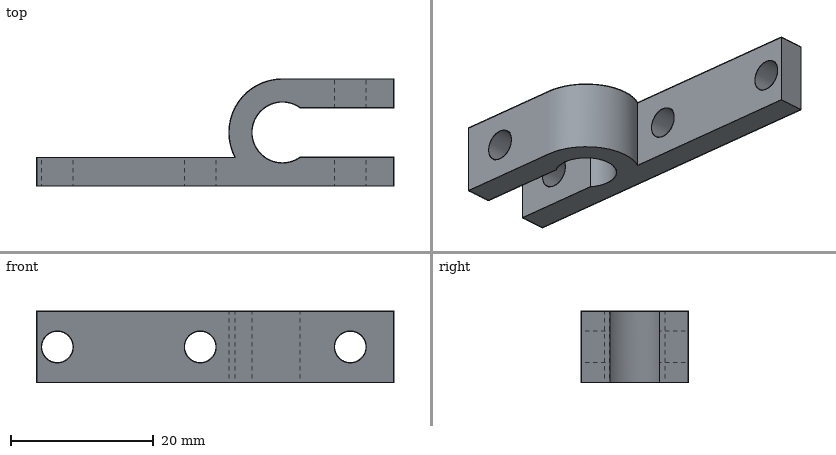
import cadquery as cq

length = 50.0
depth = 15.0
height = 10.0

outer_radius = depth / 2
clip_center_x = 34.4
bore_radius = 4.25
slot_width = 6.9

plate_thickness = 4.0
hole_diameter = 4.4
hole_positions_x = (2.9, 22.9, 43.9)


def box_between(x_start, x_end, y_start, y_end):
    """Full-height block spanning the given X and Y ranges."""
    size_x = x_end - x_start
    size_y = y_end - y_start
    return cq.Workplane("XY").box(size_x, size_y, height, centered=False).translate((x_start, y_start, 0))


def cylinder_at_clip_center(radius):
    """Full-height vertical cylinder on the clip axis."""
    return cq.Workplane("XY").center(clip_center_x, outer_radius).circle(radius).extrude(height)


def make_clip_opening():
    """Round bore joined to a narrower slot that opens at the +X end."""
    slot_start_y = (depth - slot_width) / 2
    slot = box_between(clip_center_x, length, slot_start_y, slot_start_y + slot_width)
    return cylinder_at_clip_center(bore_radius).union(slot)


def make_screw_holes():
    """Holes along Y through the whole depth; the last one crosses both jaws."""
    centers = [(x, height / 2) for x in hole_positions_x]
    return cq.Workplane("XZ").pushPoints(centers).circle(hole_diameter / 2).extrude(-depth)


plate = box_between(0, length, 0, plate_thickness)
jaws = box_between(clip_center_x, length, 0, depth)
clip = jaws.union(cylinder_at_clip_center(outer_radius))

result = plate.union(clip).cut(make_clip_opening()).cut(make_screw_holes())